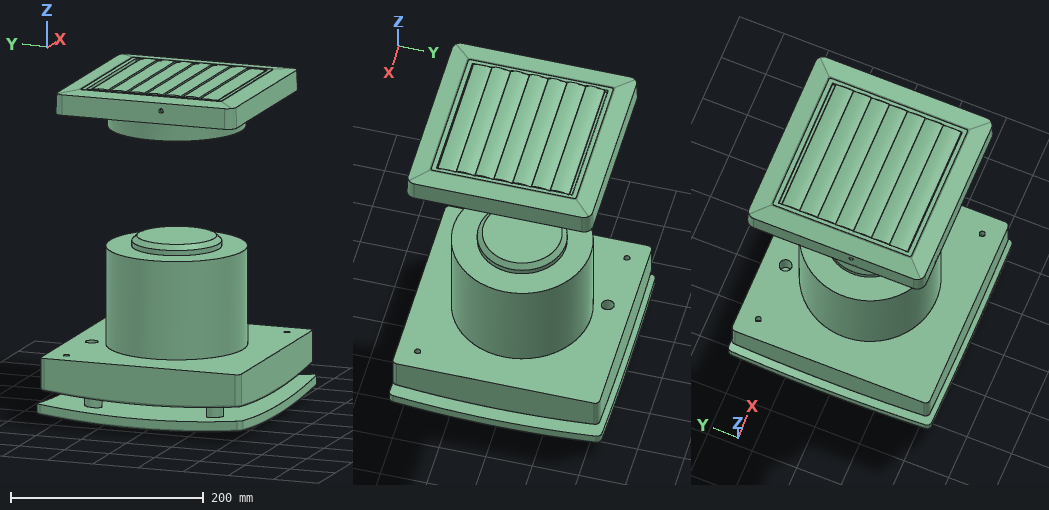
import cadquery as cq
import math


BASE_SIZE = 222.0
BASE_CORNER_RADIUS = 5.0
BASE_DEPTH = 47.5
BASE_EDGE_FILLET = 1.5
DOME_RADIUS = 920.0

CUT_MARGIN = 1.0

COVER_SIZE = 228.0
COVER_CORNER_RADIUS = 5.0
COVER_FACE_DEPTH = 73.1
COVER_THICKNESS = 10.9
COVER_EDGE_FILLET = 1.5

POST_DIAMETER = 18.0
POST_OFFSET = 67.4
POST_OVERLAP = 3.0

DUCT_DIAMETER = 147.5
DUCT_HEIGHT = 104.8
CAP_DIAMETER = 93.6
CAP_HEIGHT = 10.8
CAP_CHAMFER = 5.3

SCREW_HOLE_DIAMETER = 6.0
SCREW_HOLE_OFFSET = 89.0
SCREW_HOLE_DEPTH = 10.0
CABLE_HOLE_DIAMETER = 13.0
CABLE_HOLE_X = -22.0
CABLE_HOLE_Y = 86.0
CABLE_HOLE_DEPTH = 20.0

TOTAL_HEIGHT = 356.44
GRILLE_TOP = TOTAL_HEIGHT - COVER_FACE_DEPTH
FRAME_BOTTOM_SIZE = 200.0
FRAME_SIDE_INSET = 1.0
FRAME_CORNER_RADIUS = 10.0
FRAME_BOTTOM = 258.0
RIM_HEIGHT = 21.8
RAMP_RISE = 2.2
RAMP_TOP_SIZE = 158.0
LEDGE_SIZE = 155.6
LEDGE_CORNER_RADIUS = 2.0
LEDGE_DEPTH = 0.3
OPENING_LENGTH = 147.0
OPENING_WIDTH = 145.4
OPENING_FLOOR = 278.0
SIDE_HOLE_DIAMETER = 4.5
SIDE_HOLE_Y = -19.5
SIDE_HOLE_Z = 271.6
SIDE_HOLE_DEPTH = 5.0

SLAT_COUNT = 7
SLAT_PITCH = 20.17
SLAT_FIRST_EDGE = 69.3
SLAT_BOW_RADIUS = 30.0
SLAT_REAR_ANGLE = 25.0
LAST_SLAT_TILT = 6.0

SPIGOT_TOP_DIAMETER = 147.0
SPIGOT_END_DIAMETER = 144.0
SPIGOT_LENGTH = 25.3


def rounded_block(size, corner_radius, bottom, top):
    """Square block with rounded vertical edges."""
    block = cq.Workplane("XY").workplane(offset=bottom).rect(size, size).extrude(top - bottom)
    return block.edges("|Z").fillet(corner_radius)


def dome(depth):
    """Ball whose lowest point lies at the given depth below the wall face."""
    return cq.Workplane("XY").sphere(DOME_RADIUS).translate((0, 0, DOME_RADIUS - depth))


def cylinder(diameter, bottom, height, x=0.0, y=0.0):
    """Upright cylinder."""
    return cq.Workplane("XY").workplane(offset=bottom).center(x, y).circle(diameter / 2).extrude(height)


def make_base():
    base = rounded_block(BASE_SIZE, BASE_CORNER_RADIUS, -BASE_DEPTH - CUT_MARGIN, 0)
    base = base.intersect(dome(BASE_DEPTH))
    return base.faces("<Z").edges().fillet(BASE_EDGE_FILLET)


def make_cover():
    cover = rounded_block(COVER_SIZE, COVER_CORNER_RADIUS, -COVER_FACE_DEPTH - CUT_MARGIN, 0)
    cover = cover.intersect(dome(COVER_FACE_DEPTH))
    cover = cover.faces("<Z").edges().fillet(COVER_EDGE_FILLET)
    return cover.cut(dome(COVER_FACE_DEPTH - COVER_THICKNESS))


def make_wall_hole(diameter, depth, x, y):
    """Blind hole sunk into the wall face of the base."""
    return cylinder(diameter, -depth, depth, x, y)


def make_fan_unit():
    fan = make_base()
    fan = fan.union(cylinder(DUCT_DIAMETER, 0, DUCT_HEIGHT))
    cap = cylinder(CAP_DIAMETER, DUCT_HEIGHT, CAP_HEIGHT).faces(">Z").chamfer(CAP_CHAMFER)
    fan = fan.union(cap)

    fan = fan.union(make_cover())
    post_rise = POST_OFFSET**2 / DOME_RADIUS
    post_top = post_rise - BASE_DEPTH + POST_OVERLAP
    post_bottom = post_rise - (COVER_FACE_DEPTH - COVER_THICKNESS) - POST_OVERLAP
    for x in (-POST_OFFSET, POST_OFFSET):
        for y in (-POST_OFFSET, POST_OFFSET):
            fan = fan.union(cylinder(POST_DIAMETER, post_bottom, post_top - post_bottom, x, y))

    for side in (-1, 1):
        x = side * SCREW_HOLE_OFFSET
        fan = fan.cut(make_wall_hole(SCREW_HOLE_DIAMETER, SCREW_HOLE_DEPTH, x, -x))
    return fan.cut(make_wall_hole(CABLE_HOLE_DIAMETER, CABLE_HOLE_DEPTH, CABLE_HOLE_X, CABLE_HOLE_Y))


def make_frame():
    frame_height = RIM_HEIGHT + RAMP_RISE
    draft = math.degrees(math.atan2(FRAME_SIDE_INSET, RIM_HEIGHT))
    frame = (
        cq.Workplane("XY").workplane(offset=FRAME_BOTTOM)
        .sketch().rect(FRAME_BOTTOM_SIZE, FRAME_BOTTOM_SIZE)
        .vertices().fillet(FRAME_CORNER_RADIUS).finalize()
        .extrude(frame_height, taper=draft)
    )
    rim_size = FRAME_BOTTOM_SIZE - 2 * FRAME_SIDE_INSET
    rim_top = FRAME_BOTTOM + RIM_HEIGHT
    ramp_angle = math.degrees(math.atan2((rim_size - RAMP_TOP_SIZE) / 2, RAMP_RISE))
    ramp = cq.Workplane("XY").workplane(offset=rim_top).rect(rim_size, rim_size)
    ramp = ramp.extrude(RAMP_RISE, taper=ramp_angle)
    lower = cq.Workplane("XY").workplane(offset=FRAME_BOTTOM)
    lower = lower.rect(FRAME_BOTTOM_SIZE, FRAME_BOTTOM_SIZE).extrude(RIM_HEIGHT)
    frame = frame.intersect(ramp.union(lower))

    frame_top = FRAME_BOTTOM + frame_height
    frame = frame.cut(rounded_block(LEDGE_SIZE, LEDGE_CORNER_RADIUS, frame_top - LEDGE_DEPTH, frame_top))
    opening = cq.Workplane("XY").workplane(offset=OPENING_FLOOR).rect(OPENING_LENGTH, OPENING_WIDTH)
    return frame.cut(opening.extrude(frame_top - OPENING_FLOOR))


def make_slat(rear_edge, rear_angle):
    """Slat with a bowed top, running from its low rear edge toward -Y."""
    low_z = GRILLE_TOP - SLAT_BOW_RADIUS * (1 - math.cos(math.radians(SLAT_REAR_ANGLE)))
    axis_y = rear_edge - SLAT_BOW_RADIUS * math.sin(math.radians(rear_angle))
    axis_z = low_z - SLAT_BOW_RADIUS * math.cos(math.radians(rear_angle))
    front_edge = rear_edge - SLAT_PITCH

    def top_z(y):
        return axis_z + math.sqrt(SLAT_BOW_RADIUS**2 - (y - axis_y) ** 2)

    middle = (rear_edge + front_edge) / 2
    return (
        cq.Workplane("YZ").workplane(offset=-OPENING_LENGTH / 2)
        .moveTo(rear_edge, OPENING_FLOOR)
        .lineTo(rear_edge, top_z(rear_edge))
        .threePointArc((middle, top_z(middle)), (front_edge, top_z(front_edge)))
        .lineTo(front_edge, OPENING_FLOOR)
        .close()
        .extrude(OPENING_LENGTH)
    )


def make_grille():
    grille = make_frame()
    for index in range(SLAT_COUNT):
        is_last = index == SLAT_COUNT - 1
        rear_angle = SLAT_REAR_ANGLE - LAST_SLAT_TILT if is_last else SLAT_REAR_ANGLE
        grille = grille.union(make_slat(SLAT_FIRST_EDGE - index * SLAT_PITCH, rear_angle))

    spigot = cq.Workplane("XY").workplane(offset=FRAME_BOTTOM).circle(SPIGOT_TOP_DIAMETER / 2)
    spigot_draft = math.degrees(math.atan2((SPIGOT_TOP_DIAMETER - SPIGOT_END_DIAMETER) / 2, SPIGOT_LENGTH))
    grille = grille.union(spigot.extrude(-SPIGOT_LENGTH, taper=spigot_draft))

    side_hole = (
        cq.Workplane("YZ").workplane(offset=-FRAME_BOTTOM_SIZE / 2)
        .center(SIDE_HOLE_Y, SIDE_HOLE_Z).circle(SIDE_HOLE_DIAMETER / 2).extrude(SIDE_HOLE_DEPTH)
    )
    return grille.cut(side_hole)


fan_unit = make_fan_unit()
grille = make_grille()
result = cq.Compound.makeCompound([fan_unit.val(), grille.val()])